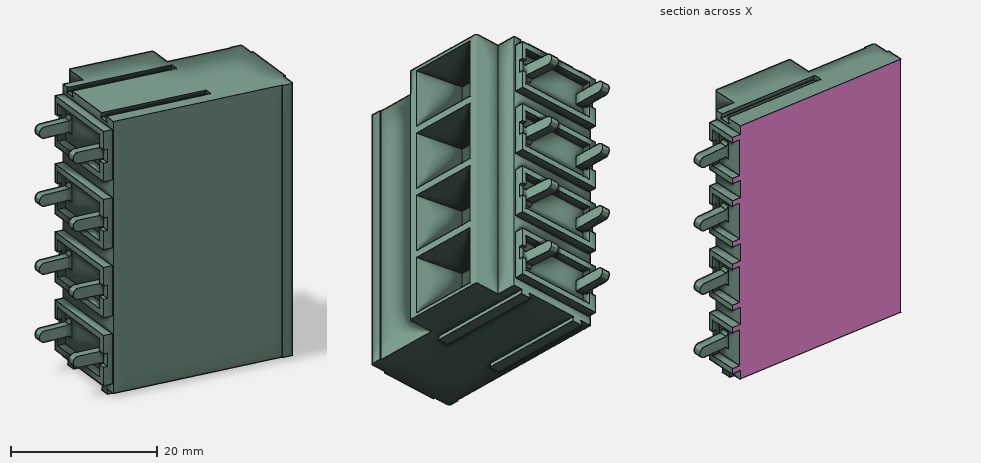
import cadquery as cq

overall_x = 18.85
overall_y = 33.55
overall_z = 41.35
pole_count = 4

tongue_height = 0.75
housing_height = overall_z - tongue_height
housing_bottom = tongue_height
pitch = housing_height / pole_count
lid_overhang = 0.15
lid_left = 3.97
lid_right = overall_x
housing_left = lid_left + lid_overhang
housing_right = lid_right - lid_overhang
housing_front = 5.38
lid_front = 31.55
lid_back = 33.25
lid_corner_radius = 0.3
lid_ridge_left = 6.75
lid_ridge_right = 16.1

entry_front = 8.52
entry_back = 21.65
entry_corner_radius = 0.35
funnel_depth = 5.38
mouth_front, mouth_back = 9.8, 20.27
mouth_height = 9.0
throat_front, throat_back = 10.75, 16.88
throat_height = 5.45

dovetail_back = entry_back
dovetail_spacing = 9.8
groove_center = 6.12
groove_mouth_width = 1.32
groove_floor_width = 1.85
groove_depth = 0.83
tongue_center = 6.37
tongue_neck_width = 1.4
tongue_tip_width = 1.7

foot_left, foot_right = 4.43, 18.35
foot_front = 4.0
foot_height = 7.5
pocket_left, pocket_right = 5.1, 17.15
pocket_height = 5.65
pocket_depth = 1.25
notch_height = 2.0
notch_depth = 0.6

pin_width = 1.3
pin_height = 1.7
left_pin_x = 6.1
right_pin_x = 15.8
pin_root_height = 2.65
pin_root_length = 0.4
pin_lean = 0.35

pole_centers = [housing_bottom + pitch * (pole + 0.5) for pole in range(pole_count)]
pocket_floor = foot_front + pocket_depth


def box(x_range, y_range, z_range):
    """Axis-aligned block between the given limits."""
    return (
        cq.Workplane("XY")
        .box(x_range[1] - x_range[0], y_range[1] - y_range[0], z_range[1] - z_range[0], centered=False)
        .translate((x_range[0], y_range[0], z_range[0]))
    )


def around(center, size):
    """Limits of a stretch of the given size about its center."""
    return (center - size / 2, center + size / 2)


def make_housing():
    """Tall body with the lid on its back and the wire entry block on its left."""
    z_range = (housing_bottom, overall_z)
    lid = box((lid_left, lid_right), (lid_front, lid_back), z_range)
    lid = lid.edges("|Z and >Y").fillet(lid_corner_radius)
    ridge = box((lid_ridge_left, lid_ridge_right), (lid_front, overall_y), z_range)
    entry = box((0, housing_right), (entry_front, entry_back), z_range)
    entry = entry.edges("|Z and <X").fillet(entry_corner_radius)
    body = box((housing_left, housing_right), (housing_front, lid_front), z_range)
    return body.union(lid).union(ridge).union(entry)


def make_funnel(z_center):
    """Tapered wire entry that narrows from its mouth to its throat."""
    throat_shift = (throat_front + throat_back - mouth_front - mouth_back) / 2
    return (
        cq.Workplane("YZ", origin=(0, (mouth_front + mouth_back) / 2, z_center))
        .rect(mouth_back - mouth_front, mouth_height)
        .workplane(offset=funnel_depth)
        .center(throat_shift, 0)
        .rect(throat_back - throat_front, throat_height)
        .loft(ruled=True)
    )


def make_dovetail(x_center, z_top, neck_width, wide_width, depth):
    """Dovetail bar, narrow at z_top and wide at its lower face, running along Y."""
    outline = [
        (x_center - neck_width / 2, z_top),
        (x_center + neck_width / 2, z_top),
        (x_center + wide_width / 2, z_top - depth),
        (x_center - wide_width / 2, z_top - depth),
    ]
    length = dovetail_back - housing_front
    return cq.Workplane("XZ", origin=(0, dovetail_back, 0)).polyline(outline).close().extrude(length)


def make_foot(z_center):
    """Rectangular rim with a pocket and a notch through both end walls."""
    foot = box((foot_left, foot_right), (foot_front, housing_front), around(z_center, foot_height))
    pocket = box((pocket_left, pocket_right), (foot_front, pocket_floor), around(z_center, pocket_height))
    notch_back = foot_front + notch_depth
    notch = box((foot_left, foot_right), (foot_front, notch_back), around(z_center, notch_height))
    return foot.cut(pocket).cut(notch)


def make_pin(x_tip, lean, z_center):
    """Flat pin with a rounded tip that stands further along X than its base by the given lean."""
    plan = [
        (x_tip, 0),
        (x_tip + pin_width, 0),
        (x_tip + pin_width - lean, pocket_floor),
        (x_tip - lean, pocket_floor),
    ]
    z_bottom = z_center - pin_height / 2
    blank = cq.Workplane("XY", origin=(0, 0, z_bottom)).polyline(plan).close().extrude(pin_height)
    tip_radius = pin_height / 2
    side = (
        cq.Workplane("YZ", origin=(0, 0, z_center))
        .moveTo(pocket_floor, -tip_radius)
        .lineTo(tip_radius, -tip_radius)
        .threePointArc((0, 0), (tip_radius, tip_radius))
        .lineTo(pocket_floor, tip_radius)
        .close()
        .extrude(overall_x)
    )
    return blank.intersect(side)


def make_pin_root(z_center):
    """Root of the leaning pin, tapering from its wide seat to the height of the pin."""
    slope = pin_lean / pocket_floor
    return (
        cq.Workplane("XZ", origin=(left_pin_x + pin_width / 2 - pin_lean, pocket_floor, z_center))
        .rect(pin_width, pin_root_height)
        .workplane(offset=pin_root_length)
        .center(slope * pin_root_length, 0)
        .rect(pin_width, pin_height)
        .loft(ruled=True)
    )


result = make_housing()

for offset in (0, dovetail_spacing):
    groove = make_dovetail(
        groove_center + offset, overall_z, groove_mouth_width, groove_floor_width, groove_depth
    )
    tongue = make_dovetail(
        tongue_center + offset, housing_bottom, tongue_neck_width, tongue_tip_width, tongue_height
    )
    result = result.cut(groove).union(tongue)

for center in pole_centers:
    result = result.cut(make_funnel(center))
    result = result.union(make_foot(center))
    result = result.union(make_pin(left_pin_x, pin_lean, center))
    result = result.union(make_pin_root(center))
    result = result.union(make_pin(right_pin_x, 0, center))